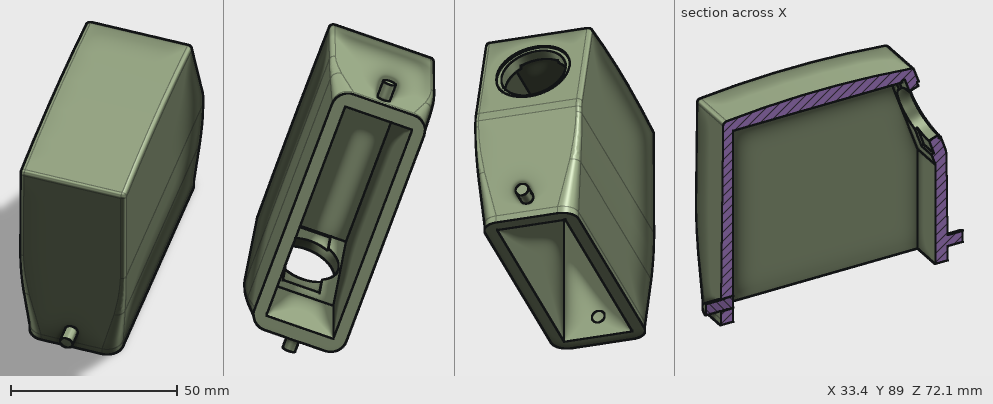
import cadquery as cq
import math

rim_height = 2.3
lower_crease_height = 18.25
upper_crease_height = 34.5
shoulder_height = 70.4
crown_height = 72.1

full_half_width = 16.7
rim_half_length = 39.3
side_draft = math.radians(4.8)
end_draft = math.radians(0.7)

rim_corner_radius = 5.1
lower_crease_corner_radius = 2.7
upper_corner_radius = 1.4
corner_easing = 1.5

entry_foot_height = 38.0
entry_tilt = math.radians(19.5)
entry_foot_radius = 8.9

entry_hole_height = 54.4
entry_hole_radius = 10.1
entry_recess_radius = 11.5
entry_recess_depth = 0.6

wall = 4.0
entry_wall = 4.9
entry_slot_depth = 0.9
entry_slot_half_width = 5.9
entry_slot_length = 3 * entry_hole_radius

peg_diameter = 4.0
peg_height = 6.9
peg_tip = 44.5

bulge_height = upper_crease_height - lower_crease_height
bulge_radius = bulge_height / math.sin(side_draft)
bulge_steps = 4
rim_half_width = (
    full_half_width
    - bulge_radius * (1 - math.cos(side_draft))
    - (lower_crease_height - rim_height) * math.tan(side_draft)
)


def half_width(z):
    """Half width of the hood at height z, up to the upper crease."""
    if z <= lower_crease_height:
        return rim_half_width + max(z - rim_height, 0) * math.tan(side_draft)
    drop = upper_crease_height - z
    return full_half_width - bulge_radius + math.sqrt(bulge_radius**2 - drop**2)


def half_length(z):
    """Half length of the hood at height z, ignoring the sloped entry face."""
    return rim_half_length - max(z - rim_height, 0) * math.tan(end_draft)


def corner_radius(z):
    """Vertical-corner radius at height z: shrinking evenly up to the lower crease, then easing off."""
    if z <= lower_crease_height:
        share = max(z - rim_height, 0) / (lower_crease_height - rim_height)
        return rim_corner_radius + share * (lower_crease_corner_radius - rim_corner_radius)
    share = (upper_crease_height - z) / bulge_height
    return upper_corner_radius + share**corner_easing * (lower_crease_corner_radius - upper_corner_radius)


cavity_half_length = half_length(entry_foot_height) - wall


def entry_y(z):
    """Y of the sloped entry face at height z."""
    return half_length(entry_foot_height) - (z - entry_foot_height) * math.tan(entry_tilt)


def section(z):
    """Rounded rectangular outline of the hood at height z."""
    return (
        cq.Sketch()
        .rect(2 * half_width(z), 2 * half_length(z))
        .vertices()
        .fillet(corner_radius(z))
        .moved(cq.Location(cq.Vector(0, 0, z)))
    )


def skirt_stage(heights, ruled):
    """Lofted stage of the skirt through the sections at the given heights."""
    return cq.Workplane("XY").placeSketch(*[section(z) for z in heights]).loft(ruled=ruled)


def make_skirt():
    """Lower hood: upright rim, drafted flare and the curve up to the vertical sides."""
    bulge_heights = [
        lower_crease_height + bulge_height * step / bulge_steps for step in range(bulge_steps + 1)
    ]
    rim = skirt_stage([0, rim_height], True)
    flare = skirt_stage([rim_height, lower_crease_height], True)
    bulge = skirt_stage(bulge_heights, False)
    return rim.union(flare).union(bulge)


def make_upper_hood():
    """Straight-sided top with the sloped entry face and the arched crown."""
    z = upper_crease_height
    front_y = -half_length(shoulder_height)
    back_y = entry_y(shoulder_height)
    foot_y = half_length(entry_foot_height)
    body = (
        cq.Workplane("YZ")
        .moveTo(-half_length(z), z)
        .lineTo(front_y, shoulder_height)
        .threePointArc(((front_y + back_y) / 2, crown_height), (back_y, shoulder_height))
        .lineTo(foot_y, entry_foot_height)
        .lineTo(half_length(z), z)
        .close()
        .extrude(full_half_width, both=True)
    )
    foot = cq.selectors.NearestToPointSelector((0, foot_y, entry_foot_height))
    body = body.edges(foot).fillet(entry_foot_radius)

    bottom_edges = body.faces("<Z").edges()
    outlines = body.faces("<X or >X").edges().vals()
    crown_ends = body.faces(">Z").edges("|X").vals()
    rounded = [e for e in outlines + crown_ends if not any(e.isSame(b) for b in bottom_edges.vals())]
    return body.newObject(rounded).fillet(upper_corner_radius)


def make_cavity():
    """Room inside the hood, open at the bottom, with a sloped +Y end."""
    top = shoulder_height - wall
    slope_shift = entry_wall / math.cos(entry_tilt)
    slope_foot = entry_foot_height - (slope_shift - wall) / math.tan(entry_tilt)
    return (
        cq.Workplane("YZ")
        .moveTo(-cavity_half_length, 0)
        .lineTo(-cavity_half_length, top)
        .lineTo(entry_y(top) - slope_shift, top)
        .lineTo(entry_y(slope_foot) - slope_shift, slope_foot)
        .lineTo(cavity_half_length, 0)
        .close()
        .extrude(rim_half_width - wall, both=True)
    )


def entry_plane():
    """Plane of the sloped face, centred on the hole, with its normal pointing out."""
    return cq.Plane(
        origin=(0, entry_y(entry_hole_height), entry_hole_height),
        xDir=(1, 0, 0),
        normal=(0, math.cos(entry_tilt), math.sin(entry_tilt)),
    )


def make_entry_slot():
    """Shallow slot across the hole mouth on the inner face of the sloped wall."""
    return (
        cq.Workplane(entry_plane())
        .workplane(offset=-entry_wall)
        .rect(2 * entry_slot_half_width, entry_slot_length)
        .extrude(entry_slot_depth)
    )


def make_peg(direction):
    """Round peg through the end wall; direction is +1 for the +Y end and -1 for the -Y end."""
    return (
        cq.Workplane("XZ", origin=(0, direction * cavity_half_length, peg_height))
        .circle(peg_diameter / 2)
        .extrude(-direction * (peg_tip - cavity_half_length))
    )


def make_housing():
    """Hood with its entry hole, the +Y peg in one piece with it and a bore for the -Y peg."""
    hood = make_skirt().union(make_upper_hood()).cut(make_cavity()).cut(make_entry_slot())
    hole = cq.Workplane(entry_plane()).circle(entry_hole_radius).extrude(-2 * wall)
    recess = cq.Workplane(entry_plane()).circle(entry_recess_radius).extrude(-entry_recess_depth)
    return hood.cut(hole).cut(recess).union(make_peg(1)).cut(make_peg(-1))


housing = make_housing()
peg = make_peg(-1)
result = cq.Compound.makeCompound([housing.val(), peg.val()])